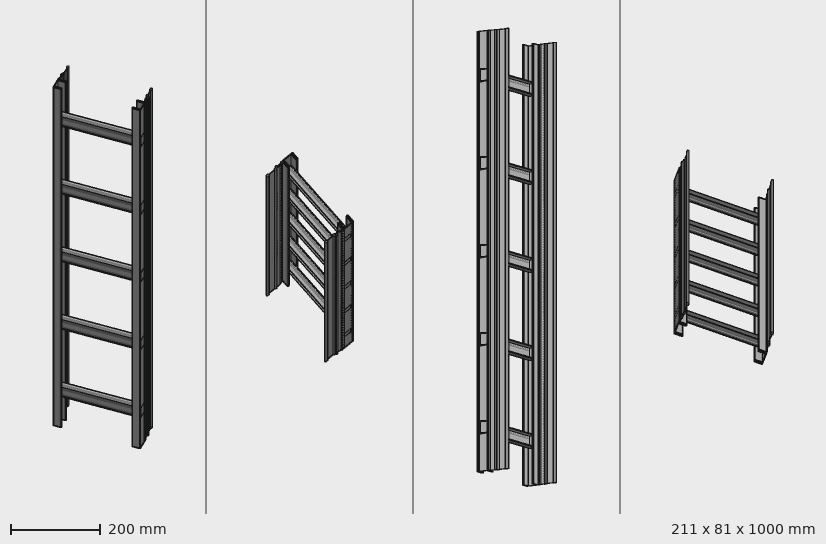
import cadquery as cq

LENGTH = 1000.0
WIDTH = 211.0
DEPTH = 81.0

SHEET = 2.0
FLANGE_WIDTH = 21.0
FLANGE_FOLD = 6.0
CHANNEL_DEPTH = 32.0
CORNER_RADIUS = 2.0
FOLD_RADIUS = 2.9

SHOULDER_Y = 35.0
NECK_FOOT_X = 1.5
NECK_TOP_X = 3.0
NECK_BEND_Y = 41.0
NECK_INNER_X = 5.5
HOOK_Y = 47.0
HEAD_TOP_Y = 51.0

STRIP_AXIS = 5.0
STRIP_WEB = 1.0
BEAD_WIDTH = 5.0
TOP_BEAD_DEPTH = 8.0
LOW_BEAD_DEPTH = 6.0
BEAD_RADIUS = 2.0

RUNG_DEPTH = 18.0
RUNG_HEIGHT = 30.0
RUNG_RADIUS = 2.0
RUNG_COUNT = 5
RUNG_PITCH = 200.0
PANEL_SINK = 0.5
PANEL_BEVEL = 3.0
FRONT_PANEL = 14.0
SIDE_PANEL = 9.0

OUTER_X = -WIDTH / 2
BASE_Y = -DEPTH / 2
BOTTOM_Z = -LENGTH / 2


def section_plane():
    """Plane of the long sections, measured from the outer front corner of the left rail."""
    return cq.Workplane("XY", origin=(OUTER_X, BASE_Y, BOTTOM_Z))


def block(x, y, width, depth):
    """Full-length bar whose section starts at (x, y)."""
    return section_plane().moveTo(x, y).rect(width, depth, centered=False).extrude(LENGTH)


def folded_flange(y):
    """Flange folded back on itself, leaving a narrow closed pocket between its layers."""
    body = block(0, y, FLANGE_WIDTH, FLANGE_FOLD).edges("|Z and >X").fillet(FOLD_RADIUS)
    pocket = block(SHEET, y + SHEET, FLANGE_WIDTH - 2 * SHEET, FLANGE_FOLD - 2 * SHEET)
    return body.cut(pocket)


def neck():
    outline = [
        (0, CHANNEL_DEPTH),
        (0, SHOULDER_Y),
        (NECK_FOOT_X, SHOULDER_Y),
        (NECK_TOP_X, HOOK_Y),
        (0, HOOK_Y),
        (0, HEAD_TOP_Y),
        (NECK_INNER_X, HEAD_TOP_Y),
        (NECK_INNER_X, NECK_BEND_Y),
        (NECK_FOOT_X + SHEET, SHOULDER_Y),
        (NECK_FOOT_X + SHEET, CHANNEL_DEPTH),
    ]
    return section_plane().polyline(outline).close().extrude(LENGTH)


def make_rail():
    channel = block(0, 0, SHEET, CHANNEL_DEPTH)
    channel = channel.union(folded_flange(0)).union(folded_flange(CHANNEL_DEPTH - FLANGE_FOLD))
    channel = channel.edges("|Z and <X and <Y").fillet(CORNER_RADIUS)
    return channel.union(neck())


def bead(y, depth):
    return block(STRIP_AXIS - BEAD_WIDTH / 2, y, BEAD_WIDTH, depth).edges("|Z").fillet(BEAD_RADIUS)


def make_strip():
    web_depth = DEPTH - HEAD_TOP_Y - (LOW_BEAD_DEPTH + TOP_BEAD_DEPTH) / 2
    web = block(STRIP_AXIS - STRIP_WEB / 2, HEAD_TOP_Y + LOW_BEAD_DEPTH / 2, STRIP_WEB, web_depth)
    low_bead = bead(HEAD_TOP_Y, LOW_BEAD_DEPTH)
    return web.union(low_bead).union(bead(DEPTH - TOP_BEAD_DEPTH, TOP_BEAD_DEPTH))


def make_rung(z):
    length = WIDTH - 2 * SHEET
    plane = cq.Workplane("YZ", origin=(-length / 2, BASE_Y + FLANGE_FOLD, z))
    top = RUNG_HEIGHT / 2
    panel_start = RUNG_DEPTH - SIDE_PANEL
    front_edge = FRONT_PANEL / 2

    bar = plane.center(RUNG_DEPTH / 2, 0).rect(RUNG_DEPTH, RUNG_HEIGHT).extrude(length)
    bar = bar.edges("|X").fillet(RUNG_RADIUS)

    front_panel = [
        (0, -front_edge - PANEL_BEVEL),
        (PANEL_SINK, -front_edge),
        (PANEL_SINK, front_edge),
        (0, front_edge + PANEL_BEVEL),
    ]
    bar = bar.cut(plane.polyline(front_panel).close().extrude(length))

    for side in (-1, 1):
        side_panel = [
            (panel_start - PANEL_BEVEL, side * top),
            (panel_start, side * (top - PANEL_SINK)),
            (RUNG_DEPTH, side * (top - PANEL_SINK)),
            (RUNG_DEPTH, side * top),
        ]
        bar = bar.cut(plane.polyline(side_panel).close().extrude(length))

    wall = SHEET + PANEL_SINK
    cavity = plane.center(wall + RUNG_DEPTH / 2, 0).rect(RUNG_DEPTH, RUNG_HEIGHT - 2 * wall).extrude(length)
    return bar.cut(cavity)


left_rail = make_rail().val()
left_strip = make_strip().val()
rails = [left_rail, left_rail.mirror("YZ")]
edge_strips = [left_strip, left_strip.mirror("YZ")]
rungs = []
for index in range(RUNG_COUNT):
    rung_z = (index - (RUNG_COUNT - 1) / 2) * RUNG_PITCH
    rungs.append(make_rung(rung_z).val())

result = cq.Compound.makeCompound([*rails, *edge_strips, *rungs])